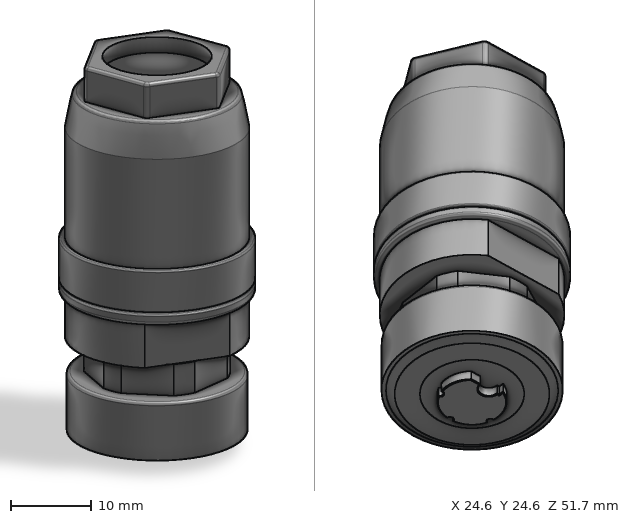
import cadquery as cq
import math

OVERALL_HEIGHT = 51.65
TURN_ANGLE = -17.3
ACROSS_FLATS = 17.05
HEX_SIDES = 6
HEX_HALF_SECTOR = 180 / HEX_SIDES

BODY_BOTTOM = 14.4
FLANGE_BOTTOM = 20.3
FLANGE_TOP = 21.8
COLLAR_BOTTOM = 22.05
COLLAR_TOP = 27.65
SHOULDER_BOTTOM = 42.25
SHOULDER_TOP = 47.0

COLLAR_RADIUS = 24.55 / 2
BODY_RADIUS = 11.5
SHOULDER_TOP_RADIUS = 10.5
SHOULDER_BULGE = 0.08
GROOVE_RADIUS = 10.95
NECK_RADIUS = 6.5
INSERT_RADIUS = 4.35

BODY_ACROSS_FLATS = 20.0
COLLAR_FILLET = 0.2
FLANGE_TOP_FILLET = 0.2
FLANGE_BOTTOM_FILLET = 0.55
SHOULDER_FILLET = 0.5
INSERT_EDGE_CHAMFER = 0.1

CAP_CORNER_FILLET = 0.8
CAP_TOP_FILLET = 0.45
RECESS_RADIUS = 6.8
RECESS_DEPTH = 2.05

NOTCH_RADIUS = 0.45
NOTCH_ANGLES = (-72, 0, 72)
KEY_FLAT_DISTANCE = 3.25
KEY_FLAT_EDGE = -1.7
KEY_GROOVE_RADIUS = 1.35

NUT_BOTTOM = 1.4
NUT_CHAMFER_TOP = 2.0
NUT_SHOULDER = 9.75
NUT_TOP = 13.95
NUT_RADIUS = 11.3
NUT_CHAMFER_RADIUS = 10.75
NUT_FACE_RADIUS = 9.65
NUT_FILLET = 0.4
NUT_CORNER_RADIUS = 9.15


def cylinder(radius, bottom, top):
    return cq.Workplane("XY").workplane(offset=bottom).circle(radius).extrude(top - bottom)


def hexagon(bottom, top):
    """Hexagonal prism with two of its corners on the X axis."""
    across_corners = ACROSS_FLATS / math.cos(math.radians(HEX_HALF_SECTOR))
    base = cq.Workplane("XY").workplane(offset=bottom)
    return base.polygon(HEX_SIDES, across_corners).extrude(top - bottom)


def make_shoulder():
    """Tapered, slightly convex top of the sleeve."""
    middle_radius = (BODY_RADIUS + SHOULDER_TOP_RADIUS) / 2 + SHOULDER_BULGE
    middle_height = (SHOULDER_BOTTOM + SHOULDER_TOP) / 2
    profile = (
        cq.Workplane("XZ")
        .moveTo(0, SHOULDER_BOTTOM)
        .lineTo(BODY_RADIUS, SHOULDER_BOTTOM)
        .threePointArc((middle_radius, middle_height), (SHOULDER_TOP_RADIUS, SHOULDER_TOP))
        .lineTo(0, SHOULDER_TOP)
        .close()
    )
    return profile.revolve(360, (0, 0, 0), (0, 1, 0)).faces(">Z").edges().fillet(SHOULDER_FILLET)


def make_cap():
    """Rounded hexagon with a round recess in its top."""
    cap = hexagon(SHOULDER_TOP, OVERALL_HEIGHT).rotate((0, 0, 0), (0, 0, 1), HEX_HALF_SECTOR)
    cap = cap.edges("|Z").fillet(CAP_CORNER_FILLET)
    cap = cap.faces(">Z").edges().fillet(CAP_TOP_FILLET)
    return cap.cut(cylinder(RECESS_RADIUS, OVERALL_HEIGHT - RECESS_DEPTH, OVERALL_HEIGHT))


def make_flatted_body():
    """Round body with two opposite wrench flats."""
    height = FLANGE_BOTTOM - BODY_BOTTOM
    slab = cq.Workplane("XY").workplane(offset=BODY_BOTTOM)
    slab = slab.rect(BODY_ACROSS_FLATS, 2 * BODY_RADIUS).extrude(height)
    return cylinder(BODY_RADIUS, BODY_BOTTOM, FLANGE_BOTTOM).intersect(slab)


def make_insert():
    """Contact insert below the neck, with notches and a key flat around its rim."""
    insert = cylinder(INSERT_RADIUS, 0, NUT_BOTTOM)
    for angle in NOTCH_ANGLES:
        notch = cylinder(NOTCH_RADIUS, 0, NUT_BOTTOM).translate((INSERT_RADIUS, 0, 0))
        insert = insert.cut(notch.rotate((0, 0, 0), (0, 0, 1), angle))
    key_space = cq.Workplane("XY").box(INSERT_RADIUS, 2 * INSERT_RADIUS, NUT_BOTTOM, centered=False)
    insert = insert.cut(key_space.translate((-KEY_FLAT_DISTANCE - INSERT_RADIUS, KEY_FLAT_EDGE, 0)))
    insert = insert.cut(cylinder(KEY_GROOVE_RADIUS, 0, NUT_BOTTOM).translate((-KEY_FLAT_DISTANCE, 0, 0)))
    return insert.faces("<Z").edges().chamfer(INSERT_EDGE_CHAMFER)


def make_housing():
    collar = cylinder(COLLAR_RADIUS, COLLAR_BOTTOM, COLLAR_TOP).edges().fillet(COLLAR_FILLET)
    flange = cylinder(COLLAR_RADIUS, FLANGE_BOTTOM, FLANGE_TOP)
    flange = flange.faces(">Z").edges().fillet(FLANGE_TOP_FILLET)
    flange = flange.faces("<Z").edges().fillet(FLANGE_BOTTOM_FILLET)
    return (
        make_insert()
        .union(cylinder(NECK_RADIUS, NUT_BOTTOM, BODY_BOTTOM))
        .union(make_flatted_body())
        .union(flange)
        .union(cylinder(GROOVE_RADIUS, FLANGE_TOP, COLLAR_BOTTOM))
        .union(collar)
        .union(cylinder(BODY_RADIUS, COLLAR_TOP, SHOULDER_BOTTOM))
        .union(make_shoulder())
        .union(make_cap())
    )


def make_nut():
    """Round coupling nut with a hexagon on top, bored to fit around the neck."""
    ring = cylinder(NUT_RADIUS, NUT_CHAMFER_TOP, NUT_SHOULDER)
    ring = ring.faces(">Z").edges().fillet(NUT_FILLET)
    cone = (
        cq.Workplane("XY")
        .workplane(offset=NUT_BOTTOM)
        .circle(NUT_FACE_RADIUS)
        .workplane(offset=NUT_CHAMFER_TOP - NUT_BOTTOM)
        .circle(NUT_CHAMFER_RADIUS)
        .loft()
    )
    hexagon_top = hexagon(NUT_SHOULDER, NUT_TOP)
    hexagon_top = hexagon_top.intersect(cylinder(NUT_CORNER_RADIUS, NUT_SHOULDER, NUT_TOP))
    bore = cylinder(NECK_RADIUS, NUT_BOTTOM, NUT_TOP)
    return ring.union(cone).union(hexagon_top).cut(bore)


housing = make_housing().rotate((0, 0, 0), (0, 0, 1), TURN_ANGLE)
nut = make_nut().rotate((0, 0, 0), (0, 0, 1), TURN_ANGLE)

result = cq.Compound.makeCompound([housing.val(), nut.val()])